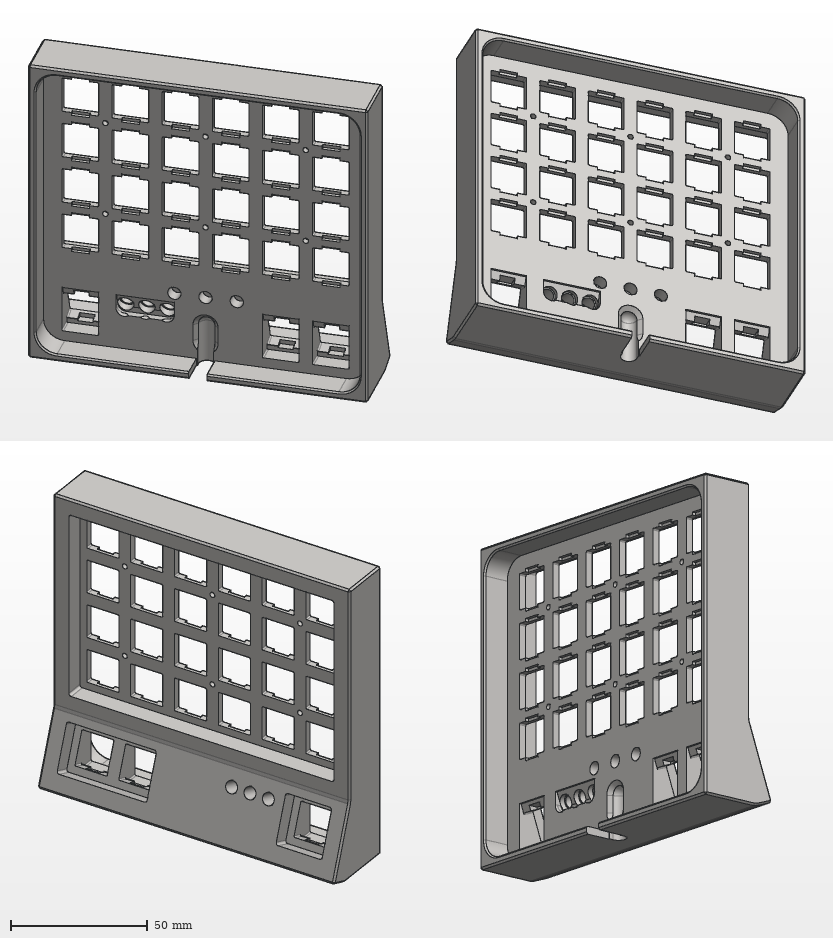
import cadquery as cq
import math


WIDTH = 129.0
HEIGHT = 122.7
BACK_Y = 21.3
EDGE_CHAMFER = 0.8
SLOPE_ANGLE = 20.0
SLOPE_TOP_Z = 32.5
SLOPE_LENGTH = 31.6
SIN = math.sin(math.radians(SLOPE_ANGLE))
COS = math.cos(math.radians(SLOPE_ANGLE))

WALL = 3.0
CAVITY_RADIUS = 8.0
RIM_CHAMFER = 0.6
RECESS_DEPTH = 7.5
PLATE_THICKNESS = 3.0
PLATE_BACK_Y = BACK_Y - RECESS_DEPTH
PLATE_FRONT_Y = PLATE_BACK_Y - PLATE_THICKNESS

KEY_COLUMNS = 6
KEY_ROWS = 4
KEY_SPAN = 95.2
KEY_PITCH = KEY_SPAN / (KEY_COLUMNS - 1)
TOP_ROW_Z = 106.0
COLUMN_X = [i * KEY_PITCH - KEY_SPAN / 2 for i in range(KEY_COLUMNS)]
ROW_Z = [TOP_ROW_Z - i * KEY_PITCH for i in range(KEY_ROWS)]
KEY_HOLE = 13.9
KEY_FILLET = 0.5
KEY_SPACE = 20.0
RECESS_FILLET = 1.0
CLIP_WIDTH = 6.8
CLIP_REACH = 1.2
CLIP_LIP = 1.5
SCREW_DIAMETER = 2.0
SCREW_X = (-2 * KEY_PITCH, 0, 2 * KEY_PITCH)
SCREW_Z = [ROW_Z[row] - KEY_PITCH / 2 for row in (0, 2)]

SLOPE_RECESS_DEPTH = 7.0
SLOPE_PLATE_THICKNESS = 4.6
SLOPE_DEPTH = SLOPE_RECESS_DEPTH + SLOPE_PLATE_THICKNESS
SLOPE_KEY_DISTANCE = 14.0
SLOPE_CLIP_WIDTH = 5.8
SLOPE_CLIP_DEPTH = 3.1
SLOPE_CLIP_TOP_Z = 23.9
SLOPE_CLIP_BOTTOM_Z = 8.3
POCKET_TOP_Z = 25.2
KEY_POCKET_BOTTOM_Z = 7.0
KEY_POCKET_STEP_Z = 9.0

LAMP_COUNT = 3
LAMP_MIDDLE_X = -23.0
LAMP_PITCH = 8.0
LAMP_DISTANCE = 8.4
LAMP_DIAMETER = 5.0
LAMP_HOLE_LENGTH = 9.3
LAMP_SEAT_DIAMETER = 6.2
LAMP_SEAT_LENGTH = 6.5
LAMP_POCKET_BOTTOM_Z = 17.0
LAMP_POCKET_STEP_Z = 19.2

BLIND_DIAMETER = 5.0
BLIND_PITCH = 11.9
BLIND_Z = 29.0
BLIND_DEPTH = 5.2

CABLE_DIAMETER = 6.2
CABLE_TOP_Z = 16.9
CABLE_SLOT_WIDTH = 7.0
FUNNEL_WIDTH = 9.5
FUNNEL_BOTTOM_Z = 10.3


def box(x0, x1, y0, y1, z0, z1):
    return cq.Workplane("XY", origin=(x0, y0, z0)).box(x1 - x0, y1 - y0, z1 - z0, centered=False)


def y_cylinder(x, z, diameter, y0, y1):
    return cq.Workplane("XZ", origin=(x, y0, z)).circle(diameter / 2).extrude(y0 - y1)


def slope_face(x, distance):
    """Workplane on the slope, facing outward, a distance down from the slope's top edge."""
    origin = (x, BACK_Y + distance * SIN, SLOPE_TOP_Z - distance * COS)
    return cq.Workplane(cq.Plane(origin=origin, xDir=(-1, 0, 0), normal=(0, COS, SIN)))


def slope_inner_y(z):
    """Y of the sloped plate's inner face at height z."""
    return BACK_Y + (SLOPE_TOP_Z - z) * SIN / COS - SLOPE_DEPTH / COS


def case_body():
    tip_y = BACK_Y + SLOPE_LENGTH * SIN
    tip_z = SLOPE_TOP_Z - SLOPE_LENGTH * COS
    foot_y = tip_y - tip_z * COS / SIN
    profile = [
        (0, 0),
        (foot_y, 0),
        (tip_y, tip_z),
        (BACK_Y, SLOPE_TOP_Z),
        (BACK_Y, HEIGHT),
        (0, HEIGHT),
    ]
    body = cq.Workplane("YZ").polyline(profile).close().extrude(WIDTH / 2, both=True)
    return body.edges().chamfer(EDGE_CHAMFER)


def cavity():
    half = WIDTH / 2 - WALL
    hollow = box(-half, half, 0, PLATE_FRONT_Y, WALL, HEIGHT - WALL)
    hollow = hollow.edges("|Y").fillet(CAVITY_RADIUS)
    rim = (
        cq.Sketch()
        .rect(2 * (half + RIM_CHAMFER), HEIGHT - 2 * (WALL - RIM_CHAMFER))
        .vertices().fillet(CAVITY_RADIUS + RIM_CHAMFER)
    )
    flare = (
        cq.Workplane("XZ", origin=(0, 0, HEIGHT / 2))
        .placeSketch(rim).extrude(-RIM_CHAMFER, taper=45)
    )
    return [hollow, flare]


def grid_key(x, z):
    half = KEY_HOLE / 2
    reach = half + CLIP_REACH
    clip = CLIP_WIDTH / 2
    hole = box(x - half, x + half, PLATE_FRONT_Y, PLATE_BACK_Y, z - half, z + half)
    hole = hole.edges("|Y").fillet(KEY_FILLET)
    notch = box(x - clip, x + clip, PLATE_FRONT_Y, PLATE_BACK_Y - CLIP_LIP, z - reach, z + reach)
    return [hole, notch]


def key_grid():
    margin = KEY_SPACE / 2
    recess = box(
        COLUMN_X[0] - margin, COLUMN_X[-1] + margin,
        PLATE_BACK_Y, BACK_Y,
        ROW_Z[-1] - margin, ROW_Z[0] + margin,
    )
    tools = [recess.edges("|Y").fillet(RECESS_FILLET)]
    for x in COLUMN_X:
        for z in ROW_Z:
            tools += grid_key(x, z)
    for x in SCREW_X:
        for z in SCREW_Z:
            tools.append(y_cylinder(x, z, SCREW_DIAMETER, PLATE_FRONT_Y, PLATE_BACK_Y))
    return tools


def inner_pocket(x, width, bottom_z, step_z):
    """Pocket from the cavity to the sloped plate, with an upright end below step_z."""
    step_y = slope_inner_y(step_z)
    profile = [
        (PLATE_FRONT_Y, bottom_z),
        (step_y, bottom_z),
        (step_y, step_z),
        (slope_inner_y(POCKET_TOP_Z), POCKET_TOP_Z),
        (PLATE_FRONT_Y, POCKET_TOP_Z),
    ]
    return cq.Workplane("YZ", origin=(x, 0, 0)).polyline(profile).close().extrude(width / 2, both=True)


def slope_recess(first_x, last_x):
    face = slope_face((first_x + last_x) / 2, SLOPE_KEY_DISTANCE)
    recess = face.rect(last_x - first_x + KEY_SPACE, KEY_SPACE).extrude(-SLOPE_RECESS_DEPTH)
    corners = cq.selectors.ParallelDirSelector(face.plane.zDir)
    return recess.edges(corners).fillet(RECESS_FILLET)


def slope_key(x):
    face = slope_face(x, SLOPE_KEY_DISTANCE)
    corners = cq.selectors.ParallelDirSelector(face.plane.zDir)
    hole = face.rect(KEY_HOLE, KEY_HOLE).extrude(-SLOPE_DEPTH)
    hole = hole.edges(corners).fillet(KEY_FILLET)
    pocket = inner_pocket(x, KEY_HOLE, KEY_POCKET_BOTTOM_Z, KEY_POCKET_STEP_Z)
    pocket = pocket.faces("<Z").edges("|Y").fillet(KEY_FILLET)

    clip = SLOPE_CLIP_WIDTH / 2
    centre_z = face.plane.origin.z - SLOPE_DEPTH * SIN
    half_rise = KEY_HOLE / 2 * COS
    top_z = centre_z + half_rise
    bottom_z = centre_z - half_rise
    top_y = slope_inner_y(top_z) + SLOPE_CLIP_DEPTH
    bottom_y = slope_inner_y(bottom_z) + SLOPE_CLIP_DEPTH
    top_notch = box(x - clip, x + clip, PLATE_FRONT_Y, top_y, centre_z, SLOPE_CLIP_TOP_Z)
    bottom_notch = box(x - clip, x + clip, PLATE_FRONT_Y, bottom_y, SLOPE_CLIP_BOTTOM_Z, centre_z)
    return [hole, pocket, top_notch, bottom_notch]


def slope_keys():
    left_x, inner_right_x, outer_right_x = COLUMN_X[0], COLUMN_X[-2], COLUMN_X[-1]
    tools = [slope_recess(left_x, left_x), slope_recess(inner_right_x, outer_right_x)]
    for x in (left_x, inner_right_x, outer_right_x):
        tools += slope_key(x)
    return tools


def lamps():
    span = (LAMP_COUNT - 1) * LAMP_PITCH
    pocket_width = span + LAMP_SEAT_DIAMETER
    pocket = inner_pocket(LAMP_MIDDLE_X, pocket_width, LAMP_POCKET_BOTTOM_Z, LAMP_POCKET_STEP_Z)

    outline = box(
        LAMP_MIDDLE_X - pocket_width / 2, LAMP_MIDDLE_X + pocket_width / 2,
        PLATE_FRONT_Y, BACK_Y,
        LAMP_POCKET_BOTTOM_Z, POCKET_TOP_Z,
    )
    outline = outline.faces("<Z").edges("|Y").fillet(LAMP_SEAT_DIAMETER / 2)
    tools = [pocket.intersect(outline)]
    for i in range(LAMP_COUNT):
        face = slope_face(LAMP_MIDDLE_X - span / 2 + i * LAMP_PITCH, LAMP_DISTANCE)
        hole = face.circle(LAMP_DIAMETER / 2).extrude(-LAMP_HOLE_LENGTH)
        seat = (
            face.workplane(offset=-LAMP_HOLE_LENGTH)
            .circle(LAMP_SEAT_DIAMETER / 2).extrude(-LAMP_SEAT_LENGTH)
        )
        tools += [hole, seat]
    return tools


def blind_holes():
    end_y = PLATE_FRONT_Y + BLIND_DEPTH
    return [
        y_cylinder(x, BLIND_Z, BLIND_DIAMETER, PLATE_FRONT_Y, end_y)
        for x in (-BLIND_PITCH, 0, BLIND_PITCH)
    ]


def cable_channel():
    radius = CABLE_DIAMETER / 2
    funnel_depth = FUNNEL_WIDTH / 2 - radius
    axis_y = PLATE_FRONT_Y + funnel_depth
    half_slot = CABLE_SLOT_WIDTH / 2
    slot = box(-half_slot, half_slot, 0, PLATE_FRONT_Y, 0, WALL)

    groove = cq.Workplane("XY", origin=(0, axis_y, 0)).circle(radius).extrude(CABLE_TOP_Z)
    mouth = box(-radius, radius, PLATE_FRONT_Y, axis_y, 0, CABLE_TOP_Z)
    ball = cq.Workplane("XY", origin=(0, axis_y, CABLE_TOP_Z)).sphere(radius)

    funnel_length = CABLE_TOP_Z - FUNNEL_BOTTOM_Z + FUNNEL_WIDTH
    middle_z = (CABLE_TOP_Z + FUNNEL_BOTTOM_Z) / 2
    funnel = (
        cq.Workplane("XZ", origin=(0, PLATE_FRONT_Y, middle_z))
        .slot2D(funnel_length, FUNNEL_WIDTH, 90).extrude(-funnel_depth, taper=45)
    )
    return [slot, groove, mouth, ball, funnel]


result = case_body()
for cutters in (cavity(), key_grid(), slope_keys(), lamps(), blind_holes(), cable_channel()):
    for cutter in cutters:
        result = result.cut(cutter)